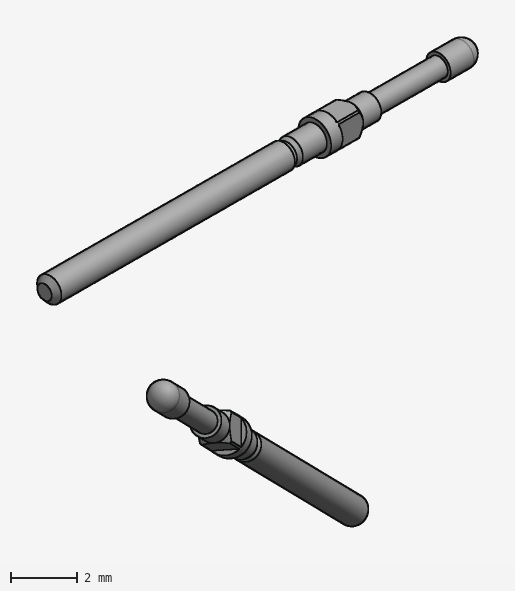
import cadquery as cq

length = 19.0
body_radius = 0.504
neck_radius = 0.38
flange_radius = 0.675

head_length = 1.52
neck_end = 4.6
collar_start = 5.4
flange_start = 6.5
flange_end = 7.01
groove_start = 8.08
groove_end = 8.44

groove_depth = 0.08
width_across_flats = 2 * body_radius
tail_chamfer = 0.2

tip_y = length / 2
tail_y = -length / 2


def cylinder(radius, start, end):
    """Round stretch between two distances back from the tip."""
    return cq.Workplane("XZ", origin=(0, tip_y - start, 0)).circle(radius).extrude(end - start)


def domed_head():
    """Round head ending in a half sphere."""
    dome = cq.Workplane("XY", origin=(0, tip_y - body_radius, 0)).sphere(body_radius)
    return dome.union(cylinder(body_radius, body_radius, head_length))


def square_collar():
    """Four flats on a stretch of flange diameter, behind a conical lead-in."""
    flats = (
        cq.Workplane("XZ", origin=(0, tip_y - collar_start, 0))
        .rect(width_across_flats, width_across_flats)
        .extrude(flange_start - collar_start)
    )
    blank = cylinder(flange_radius, collar_start, flange_start)
    blank = blank.faces(">Y").chamfer(flange_radius - body_radius)
    return flats.intersect(blank)


def grooved_tail():
    """Rear shaft with a V-groove near the flange and a chamfered end."""
    groove_middle = (groove_start + groove_end) / 2
    profile = (
        cq.Workplane("XY")
        .moveTo(0, tip_y - flange_end)
        .lineTo(body_radius, tip_y - flange_end)
        .lineTo(body_radius, tip_y - groove_start)
        .lineTo(body_radius - groove_depth, tip_y - groove_middle)
        .lineTo(body_radius, tip_y - groove_end)
        .lineTo(body_radius, tail_y + tail_chamfer)
        .lineTo(body_radius - tail_chamfer, tail_y)
        .lineTo(0, tail_y)
        .close()
    )
    return profile.revolve(360, (0, 0, 0), (0, 1, 0))


result = (
    domed_head()
    .union(cylinder(neck_radius, head_length, neck_end))
    .union(cylinder(body_radius, neck_end, collar_start))
    .union(square_collar())
    .union(cylinder(flange_radius, flange_start, flange_end))
    .union(grooved_tail())
)